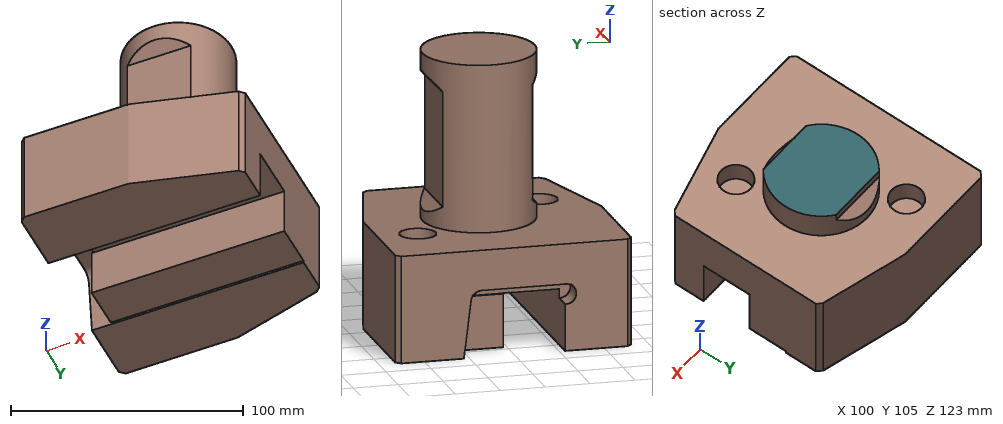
import cadquery as cq
import math

BLOCK_HEIGHT = 48.0
X_HALF = 50.0
Y_FRONT = -55.0
Y_BACK = 50.0
NOSE_WIDTH = 80.0
NOSE_CENTER_Y = -2.0
TAPER_ANGLE = 15.0
CORNER_BEVEL = 2.2

SHANK_DIAMETER = 50.0
SHANK_HEIGHT = 75.0
ACROSS_FLATS = 40.0
FLAT_CUT_BOTTOM = 5.0
FLAT_CUT_TOP = 66.5

HOLE_DIAMETER = 16.0
HOLE_CIRCLE_RADIUS = 37.0
HOLE_ANGLES = (120.0, 300.0)
HOLE_DEPTH = 10.0

CHANNEL_WALL_Y = -25.0
CHANNEL_WIDTH = 25.0
CHANNEL_HEIGHT = 25.0
CHANNEL_FAR_Y = CHANNEL_WALL_Y + CHANNEL_WIDTH

RECESS_DEPTH = 10.0
RECESS_HEIGHT = 30.0
RECESS_FOOT_Y = 20.0
RECESS_WALL_ANGLE = 7.0
RECESS_FILLET = 5.0
UNDERCUT_RADIUS = 4.5
UNDERCUT_CENTER_Y = -25.5

PAD_THICKNESS = 1.0

STEP_HEIGHT = 1.0


def make_block():
    """Plate with a tapered +X end and 45 degree bevels on its vertical corners."""
    slope = math.tan(math.radians(TAPER_ANGLE))
    nose_back = NOSE_CENTER_Y + NOSE_WIDTH / 2
    nose_front = NOSE_CENTER_Y - NOSE_WIDTH / 2
    bevel_back = nose_back + CORNER_BEVEL * slope
    bevel_front = nose_front - CORNER_BEVEL * slope
    outline = [
        (-X_HALF, Y_FRONT + CORNER_BEVEL),
        (-X_HALF + CORNER_BEVEL, Y_FRONT),
        (X_HALF - (nose_front - Y_FRONT) / slope, Y_FRONT),
        (X_HALF - CORNER_BEVEL, bevel_front),
        (X_HALF, bevel_front + CORNER_BEVEL),
        (X_HALF, bevel_back - CORNER_BEVEL),
        (X_HALF - CORNER_BEVEL, bevel_back),
        (X_HALF - (Y_BACK - nose_back) / slope, Y_BACK),
        (-X_HALF + CORNER_BEVEL, Y_BACK),
        (-X_HALF, Y_BACK - CORNER_BEVEL),
    ]
    return cq.Workplane("XY").polyline(outline).close().extrude(BLOCK_HEIGHT)


def make_shank():
    """Round shank with two flats that run out at 45 degrees."""
    radius = SHANK_DIAMETER / 2
    flat_y = ACROSS_FLATS / 2
    runout = radius - flat_y
    low = BLOCK_HEIGHT + FLAT_CUT_BOTTOM
    high = BLOCK_HEIGHT + FLAT_CUT_TOP
    shank = (
        cq.Workplane("XY")
        .workplane(offset=BLOCK_HEIGHT)
        .circle(radius)
        .extrude(SHANK_HEIGHT)
    )
    for side in (-1, 1):
        cutter = (
            cq.Workplane("YZ")
            .moveTo(side * radius, low)
            .lineTo(side * flat_y, low + runout)
            .lineTo(side * flat_y, high - runout)
            .lineTo(side * radius, high)
            .close()
            .extrude(radius, both=True)
        )
        shank = shank.cut(cutter)
    return shank


def make_holes():
    """Blind holes opening on the block top."""
    centers = []
    for angle in HOLE_ANGLES:
        turn = math.radians(angle)
        centers.append((HOLE_CIRCLE_RADIUS * math.cos(turn), HOLE_CIRCLE_RADIUS * math.sin(turn)))
    return (
        cq.Workplane("XY")
        .workplane(offset=BLOCK_HEIGHT)
        .pushPoints(centers)
        .circle(HOLE_DIAMETER / 2)
        .extrude(-HOLE_DEPTH)
    )


def make_prism(x_length, y_start, y_end, height):
    """Rectangular cutter running from the -X side, standing on Z = 0."""
    return (
        cq.Workplane("YZ")
        .workplane(offset=-X_HALF)
        .moveTo(y_start, 0)
        .lineTo(y_end, 0)
        .lineTo(y_end, height)
        .lineTo(y_start, height)
        .close()
        .extrude(x_length)
    )


def make_sloped_prism(x_length, y_start, height):
    """Cutter from the -X side whose +Y flank follows the sloped recess wall."""
    lean = height * math.tan(math.radians(RECESS_WALL_ANGLE))
    return (
        cq.Workplane("YZ")
        .workplane(offset=-X_HALF)
        .moveTo(y_start, 0)
        .lineTo(RECESS_FOOT_Y, 0)
        .lineTo(RECESS_FOOT_Y - lean, height)
        .lineTo(y_start, height)
        .close()
        .extrude(x_length)
    )


def make_recess():
    """Recess with a sloped, filleted wall and a round undercut on the far side."""
    sloped = make_sloped_prism(RECESS_DEPTH, CHANNEL_WALL_Y, RECESS_HEIGHT)
    sloped = sloped.faces(">Z").edges(">Y").fillet(RECESS_FILLET)
    undercut = (
        cq.Workplane("YZ")
        .workplane(offset=-X_HALF)
        .center(UNDERCUT_CENTER_Y, RECESS_HEIGHT - UNDERCUT_RADIUS)
        .circle(UNDERCUT_RADIUS)
        .extrude(RECESS_DEPTH)
    )
    pad_zone = make_sloped_prism(RECESS_DEPTH, CHANNEL_FAR_Y, CHANNEL_HEIGHT)
    pad = pad_zone.cut(make_prism(RECESS_DEPTH - PAD_THICKNESS, CHANNEL_FAR_Y, RECESS_FOOT_Y, CHANNEL_HEIGHT))
    return sloped.union(undercut).cut(pad)


def make_channel():
    """Channel through the whole length, with the shallow step beside it."""
    full_length = 2 * X_HALF
    channel = make_prism(full_length, CHANNEL_WALL_Y, CHANNEL_FAR_Y, CHANNEL_HEIGHT)
    step = make_sloped_prism(full_length, CHANNEL_FAR_Y, STEP_HEIGHT)
    return channel.union(step)


result = (
    make_block()
    .cut(make_recess())
    .cut(make_channel())
    .cut(make_holes())
    .union(make_shank())
)